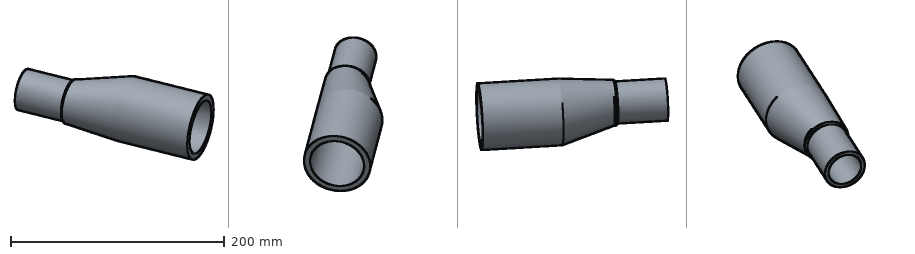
import cadquery as cq

length = 177.0
spigot_end = 47.0
chamfer_length = 1.8
collar_end = 50.8
cone_end = 101.0

large_diameter = 63.0
large_bore = 51.3
small_diameter = 40.0
small_bore = 32.5
collar_diameter = small_diameter + 2 * chamfer_length

axis_offset = (large_diameter - collar_diameter) / 2
small_axis_y = -axis_offset
large_axis_y = 0.0


def cylinder(start, end, diameter, axis_y):
    """Cylinder along X between two stations."""
    return (
        cq.Workplane("YZ", origin=(start, axis_y, 0))
        .circle(diameter / 2)
        .extrude(end - start)
    )


def taper(start, start_diameter, start_y, end, end_diameter, end_y):
    """Ruled transition along X between two circles."""
    return (
        cq.Workplane("YZ", origin=(start, 0, 0))
        .center(start_y, 0)
        .circle(start_diameter / 2)
        .workplane(offset=end - start)
        .center(end_y - start_y, 0)
        .circle(end_diameter / 2)
        .loft(ruled=True)
    )


spigot = cylinder(0, spigot_end, small_diameter, small_axis_y)
collar = (
    cylinder(spigot_end, collar_end, collar_diameter, small_axis_y)
    .faces("<X")
    .chamfer(chamfer_length)
)
cone = taper(collar_end, collar_diameter, small_axis_y, cone_end, large_diameter, large_axis_y)
pipe = cylinder(cone_end, length, large_diameter, large_axis_y)
body = spigot.union(collar).union(cone).union(pipe)

small_passage = cylinder(0, collar_end, small_bore, small_axis_y)
tapered_passage = taper(collar_end, small_bore, small_axis_y, cone_end, large_bore, large_axis_y)
large_passage = cylinder(cone_end, length, large_bore, large_axis_y)

result = body.cut(small_passage).cut(tapered_passage).cut(large_passage)